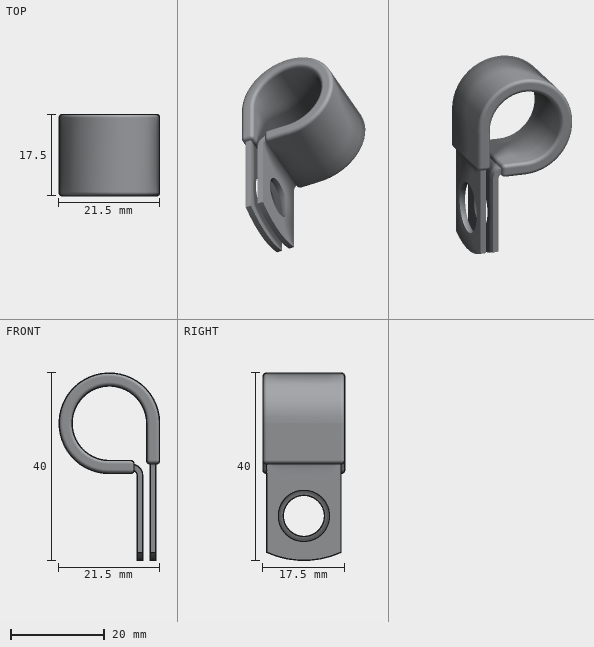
import cadquery as cq
import math


bore_radius = 7.93
cushion_wall = 0.79375
cushion_rounding = 0.78
strap_thickness = 1.23
strap_width = 15.875
leg_gap = 1.5875
bend_inner_radius = 1.19
cushion_bottom_length = 5.3
overall_height = 40.04
tip_radius = 19.05
short_leg_hole_diameter = 8.73
long_leg_hole_diameter = 10.95
hole_to_tip = 9.525

strap_inner_radius = bore_radius + cushion_wall
strap_outer_radius = strap_inner_radius + strap_thickness
cushion_outer_radius = strap_outer_radius + cushion_wall
cushion_width = strap_width + 2 * cushion_wall
cushion_side_length = strap_inner_radius
tip_z = cushion_outer_radius - overall_height
hole_z = tip_z + hole_to_tip
short_leg_outer_x = strap_inner_radius - leg_gap
short_leg_inner_x = short_leg_outer_x - strap_thickness
bend_x = short_leg_inner_x - bend_inner_radius
bend_z = -strap_outer_radius - bend_inner_radius
bend_outer_radius = bend_inner_radius + strap_thickness
diagonal = math.sqrt(0.5)


def loop_profile(inner_radius, outer_radius, bottom_end_x, side_end_z):
    """Three-quarter ring with a straight bottom run along +X and a straight side run down to side_end_z."""
    return (
        cq.Workplane("XZ")
        .moveTo(bottom_end_x, -outer_radius)
        .lineTo(0, -outer_radius)
        .threePointArc((-outer_radius * diagonal, outer_radius * diagonal), (outer_radius, 0))
        .lineTo(outer_radius, side_end_z)
        .lineTo(inner_radius, side_end_z)
        .lineTo(inner_radius, 0)
        .threePointArc((-inner_radius * diagonal, inner_radius * diagonal), (0, -inner_radius))
        .lineTo(bottom_end_x, -inner_radius)
        .close()
    )


def make_cushion():
    """Rubber cushion with every outside edge rounded."""
    body = loop_profile(
        bore_radius, cushion_outer_radius, cushion_bottom_length, -cushion_side_length
    ).extrude(cushion_width / 2, both=True)
    strap_mid_radius = (strap_inner_radius + strap_outer_radius) / 2
    bottom_end = cq.selectors.NearestToPointSelector((cushion_bottom_length, 0, -strap_mid_radius))
    side_end = cq.selectors.NearestToPointSelector((strap_mid_radius, 0, -cushion_side_length))
    rim_edges = body.faces("|Y").edges()
    end_edges = body.faces(bottom_end).edges().add(body.faces(side_end).edges())
    return body.newObject(rim_edges.add(end_edges).vals()).fillet(cushion_rounding)


def make_short_leg():
    """Quarter bend leaving the bottom run, then a straight leg going down."""
    bend_outer_mid = (bend_x + bend_outer_radius * diagonal, bend_z + bend_outer_radius * diagonal)
    bend_inner_mid = (bend_x + bend_inner_radius * diagonal, bend_z + bend_inner_radius * diagonal)
    return (
        cq.Workplane("XZ")
        .moveTo(bend_x, -strap_inner_radius)
        .threePointArc(bend_outer_mid, (short_leg_outer_x, bend_z))
        .lineTo(short_leg_outer_x, tip_z)
        .lineTo(short_leg_inner_x, tip_z)
        .lineTo(short_leg_inner_x, bend_z)
        .threePointArc(bend_inner_mid, (bend_x, -strap_outer_radius))
        .close()
        .extrude(strap_width / 2, both=True)
    )


def make_leg_outline():
    """Block along X with the outline of the legs: straight sides and an arc tip."""
    half_width = strap_width / 2
    tip_rise = tip_radius - math.sqrt(tip_radius**2 - half_width**2)
    return (
        cq.Workplane("YZ")
        .moveTo(-half_width, cushion_outer_radius)
        .lineTo(-half_width, tip_z + tip_rise)
        .threePointArc((0, tip_z), (half_width, tip_z + tip_rise))
        .lineTo(half_width, cushion_outer_radius)
        .close()
        .extrude(cushion_outer_radius, both=True)
    )


def make_bolt_hole(diameter, leg_inner_x):
    """Round cutter along X through the one leg that starts at leg_inner_x."""
    return (
        cq.Workplane("YZ", origin=(leg_inner_x, 0, hole_z))
        .circle(diameter / 2)
        .extrude(strap_thickness)
    )


def make_strap():
    """Metal strap: loop with the long side leg, plus the bent short leg, with arc tips and bolt holes."""
    loop = loop_profile(strap_inner_radius, strap_outer_radius, bend_x, tip_z).extrude(
        strap_width / 2, both=True
    )
    return (
        loop.union(make_short_leg())
        .intersect(make_leg_outline())
        .cut(make_bolt_hole(short_leg_hole_diameter, short_leg_inner_x))
        .cut(make_bolt_hole(long_leg_hole_diameter, strap_inner_radius))
    )


result = make_cushion().union(make_strap())